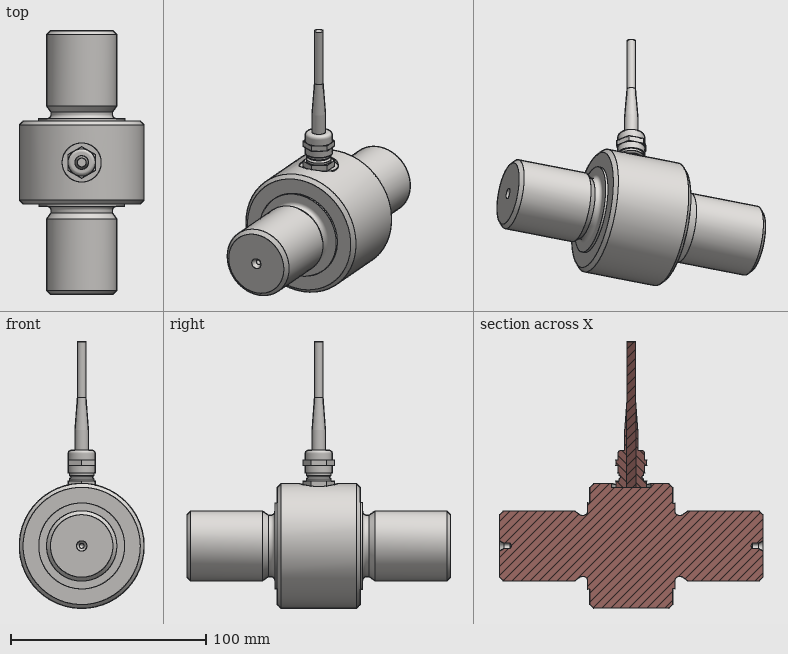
import cadquery as cq
import math


housing_dia = 64.0
housing_half = 21.25
edge_chamfer = 2.0

front_ring_dia = 44.0
back_ring_dia = 44.5
ring_end = 22.5
stud_dia = 36.0
stud_end = 67.5
neck_dia = 31.6
neck_fillet = 2.0
neck_end = 25.8
stud_shoulder = 28.9

drill_dia = 2.5
drill_mouth_dia = 5.3
drill_cone_angle = 60.0
drill_depth = 5.5
drill_tip_angle = 118.0

seat_dia = 20.0
seat_z = 30.0

gland_dia = 14.0
hex_flats = 14.0
base_hex_top = 33.2
gland_neck_dia = 12.7
groove_dia = 10.8
groove_z = 35.2
groove_half_width = 0.9
cap_bottom = 37.4
cap_top = 49.0
cap_fillet = 1.8
cap_hex_bottom = 41.1
cap_hex_top = 44.0

sleeve_dia = 7.0
taper_bottom = 59.2
taper_top = 75.9

cable_dia = 4.5
cable_top = 104.57


def cylinder_z(diameter, bottom, top):
    return cq.Workplane("XY").workplane(offset=bottom).circle(diameter / 2).extrude(top - bottom)


def make_stud(ring_dia):
    """Ring, undercut neck and stud on the +Y face of the housing, with its centre drilling."""
    stud_r = stud_dia / 2
    neck_r = neck_dia / 2
    fillet_mid = neck_fillet * (1 - math.sqrt(0.5))
    profile = (
        cq.Workplane("XY")
        .moveTo(0, housing_half)
        .lineTo(ring_dia / 2, housing_half)
        .lineTo(ring_dia / 2, ring_end)
        .lineTo(neck_r + neck_fillet, ring_end)
        .threePointArc((neck_r + fillet_mid, ring_end + fillet_mid), (neck_r, ring_end + neck_fillet))
        .lineTo(neck_r, neck_end)
        .lineTo(stud_r, stud_shoulder)
        .lineTo(stud_r, stud_end - edge_chamfer)
        .lineTo(stud_r - edge_chamfer, stud_end)
        .lineTo(0, stud_end)
        .close()
    )
    return profile.revolve(360, (0, 0, 0), (0, 1, 0)).cut(make_centre_drilling())


def make_centre_drilling():
    """Countersunk blind drilling in the +Y stud end."""
    drill_r = drill_dia / 2
    mouth_r = drill_mouth_dia / 2
    cone_depth = (mouth_r - drill_r) / math.tan(math.radians(drill_cone_angle / 2))
    tip_length = drill_r / math.tan(math.radians(drill_tip_angle / 2))
    return (
        cq.Workplane("XY")
        .moveTo(0, stud_end)
        .lineTo(mouth_r, stud_end)
        .lineTo(drill_r, stud_end - cone_depth)
        .lineTo(drill_r, stud_end - drill_depth)
        .lineTo(0, stud_end - drill_depth - tip_length)
        .close()
        .revolve(360, (0, 0, 0), (0, 1, 0))
    )


def make_load_cell():
    """Chamfered housing with a stud on each end face and a flat gland seat on top."""
    housing = (
        cq.Workplane("XZ")
        .workplane(offset=-housing_half)
        .circle(housing_dia / 2)
        .extrude(2 * housing_half)
        .faces("|Y")
        .edges()
        .chamfer(edge_chamfer)
    )
    back_stud = make_stud(back_ring_dia)
    front_stud = make_stud(front_ring_dia).mirror("XZ")
    seat = cylinder_z(seat_dia, seat_z, housing_dia / 2)
    return housing.union(back_stud).union(front_stud).cut(seat)


def hex_prism(bottom, top):
    """Hexagonal prism with flats facing +X and -X."""
    corner_dia = hex_flats / math.cos(math.pi / 6)
    return (
        cq.Workplane("XY")
        .workplane(offset=bottom)
        .transformed(rotate=(0, 0, 90))
        .polygon(6, corner_dia)
        .extrude(top - bottom)
    )


def make_gland():
    """Base hexagon, grooved neck, rounded cap with a hexagon, and tapered sleeve, bored for the cable."""
    cap_r = gland_dia / 2
    neck_r = gland_neck_dia / 2
    fillet_mid = cap_fillet * (1 - math.sqrt(0.5))
    turned = (
        cq.Workplane("XZ")
        .moveTo(0, seat_z)
        .lineTo(neck_r, seat_z)
        .lineTo(neck_r, groove_z - groove_half_width)
        .lineTo(groove_dia / 2, groove_z)
        .lineTo(neck_r, groove_z + groove_half_width)
        .lineTo(neck_r, cap_bottom)
        .lineTo(cap_r, cap_bottom)
        .lineTo(cap_r, cap_top - cap_fillet)
        .threePointArc((cap_r - fillet_mid, cap_top - fillet_mid), (cap_r - cap_fillet, cap_top))
        .lineTo(sleeve_dia / 2, cap_top)
        .lineTo(sleeve_dia / 2, taper_bottom)
        .lineTo(cable_dia / 2, taper_top)
        .lineTo(0, taper_top)
        .close()
        .revolve(360, (0, 0, 0), (0, 1, 0))
    )
    base_hex = hex_prism(seat_z, base_hex_top)
    cap_hex = hex_prism(cap_hex_bottom, cap_hex_top)
    return turned.union(base_hex).union(cap_hex).cut(make_cable())


def make_cable():
    """Cable running from the gland seat up through the gland and out of its sleeve."""
    return cylinder_z(cable_dia, seat_z, cable_top)


load_cell = make_load_cell()
gland = make_gland()
cable = make_cable()

result = cq.Compound.makeCompound([load_cell.val(), gland.val(), cable.val()])